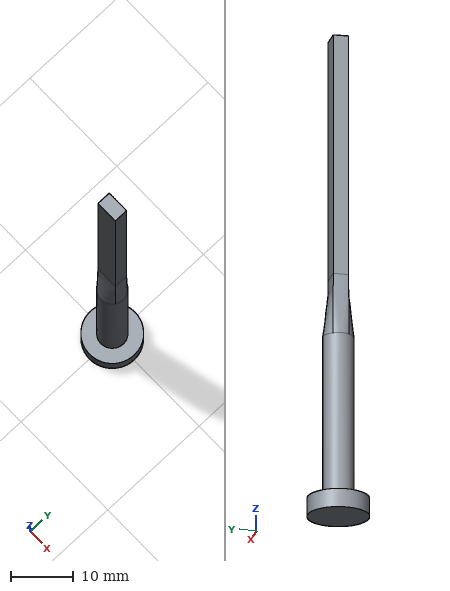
import cadquery as cq
import math

total_length = 80.1
head_diameter = 10.0
head_thickness = 3.05
shaft_diameter = head_diameter / 2
blade_length = total_length / 2
blade_width = 4.0
blade_thickness = 2.5
transition_length = 10.0

blade_base = total_length - blade_length
transition_base = blade_base - transition_length


def shaft_section():
    """Circle split into four arcs that line up with the blade corners."""
    radius = shaft_diameter / 2
    corner_angle = math.atan2(blade_thickness, blade_width)
    x = radius * math.cos(corner_angle)
    y = radius * math.sin(corner_angle)
    return (
        cq.Workplane("XY", origin=(0, 0, transition_base))
        .moveTo(-x, -y)
        .threePointArc((0, -radius), (x, -y))
        .threePointArc((radius, 0), (x, y))
        .threePointArc((0, radius), (-x, y))
        .threePointArc((-radius, 0), (-x, -y))
        .close()
        .val()
    )


def blade_section():
    """Rectangle starting at the same corner as the split circle."""
    x = blade_width / 2
    y = blade_thickness / 2
    return (
        cq.Workplane("XY", origin=(0, 0, blade_base))
        .polyline([(-x, -y), (x, -y), (x, y), (-x, y)])
        .close()
        .val()
    )


head = cq.Workplane("XY").circle(head_diameter / 2).extrude(head_thickness)

shaft = (
    cq.Workplane("XY", origin=(0, 0, head_thickness))
    .circle(shaft_diameter / 2)
    .extrude(transition_base - head_thickness)
)

transition = cq.Workplane(cq.Solid.makeLoft([shaft_section(), blade_section()], True))

blade = (
    cq.Workplane("XY", origin=(0, 0, blade_base))
    .rect(blade_width, blade_thickness)
    .extrude(blade_length)
)

result = head.union(shaft).union(transition).union(blade)